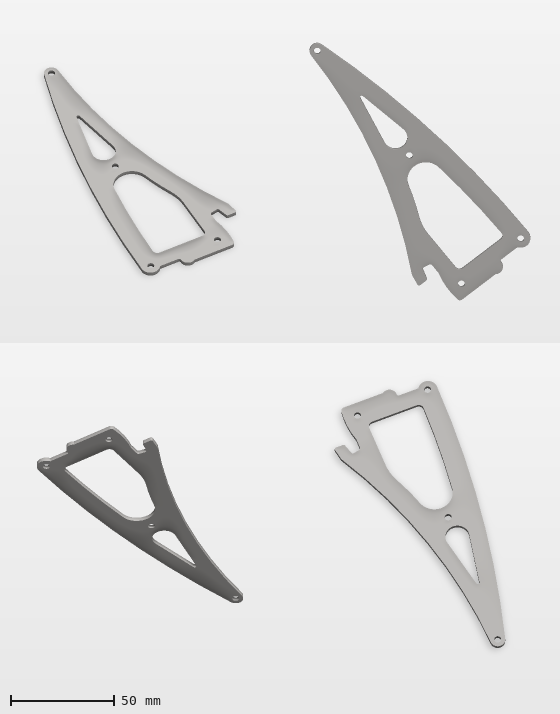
import cadquery as cq
import math

length = 146.2
thickness = 2.0
hole_diameter = 3.4

tip_radius = 3.7
tip_center = (tip_radius, 23.0)
tip_upper_angle = 93.0
tip_lower_angle = 256.0
lug_radius = 4.7
lug_center = (138.9, lug_radius)

upper_edge_middle = (67.2, 36.0)
upper_edge_end = (120.6, 57.3)
lower_edge_middle = (65.9, 5.5)

hook_right = 127.2
hook_tip = (hook_right, 58.5)
hook_lower_corner = (hook_right, 53.0)
notch_inner_corner = (121.0, 51.3)
notch_floor = 46.6
notch_left = 121.9
hook_corner_radius = 0.9

shoulder_start = (127.6, notch_floor)
shoulder_middle = (136.7, 48.1)
right_side = 145.5
shoulder_end = (right_side, 47.5)
shoulder_radius = 1.8
bump_radius = 3.7
bump_center = (length - bump_radius, 23.2)
recess_side = 141.3
recess_radius = 0.9

drop_nose_center = (35.4, 20.6)
drop_nose_radius = 0.9
drop_head_center = (61.4, 20.6)
drop_head_radius = 5.8

window_nose_center = (87.3, 22.2)
window_nose_radius = 8.9
window_slope_angle = 109.5
window_floor_angle = 264.0
window_peak = (104.5, 38.6)
window_slope_middle = (95.0, 34.3)
window_right = 133.3
window_lower_corner = (window_right, 10.2)
window_floor_middle = (109.6, 11.1)
window_peak_radius = 21.9
window_corner_radius = 2.5

middle_hole = (72.6, 20.9)
right_hole_x = 139.0
right_hole_heights = (4.8, 41.4)


def on_circle(center, radius, angle):
    """Point on a circle at an angle in degrees from +X."""
    turn = math.radians(angle)
    return (center[0] + radius * math.cos(turn), center[1] + radius * math.sin(turn))


def round_corner(body, corner, radius):
    """Fillet the upright edge nearest to a corner of the outline."""
    nearest = cq.selectors.NearestToPointSelector((corner[0], corner[1], thickness / 2))
    return body.edges("|Z").edges(nearest).fillet(radius)


def make_plate():
    tip_top = on_circle(tip_center, tip_radius, tip_upper_angle)
    tip_left = on_circle(tip_center, tip_radius, 180)
    tip_bottom = on_circle(tip_center, tip_radius, tip_lower_angle)
    lug_bottom = on_circle(lug_center, lug_radius, 270)
    lug_right = on_circle(lug_center, lug_radius, 0)
    lug_rise = math.sqrt(lug_radius**2 - (recess_side - lug_center[0]) ** 2)
    lug_top = (recess_side, lug_center[1] + lug_rise)
    bump_bottom = on_circle(bump_center, bump_radius, 270)
    bump_right = on_circle(bump_center, bump_radius, 0)
    bump_rise = math.sqrt(bump_radius**2 - (right_side - bump_center[0]) ** 2)
    notch_lower_corner = (notch_left, notch_floor)
    recess_corner = (recess_side, bump_bottom[1])

    body = (
        cq.Workplane("XY")
        .moveTo(*tip_top)
        .threePointArc(upper_edge_middle, upper_edge_end)
        .lineTo(*hook_tip)
        .lineTo(*hook_lower_corner)
        .lineTo(*notch_inner_corner)
        .lineTo(*notch_lower_corner)
        .lineTo(*shoulder_start)
        .threePointArc(shoulder_middle, shoulder_end)
        .lineTo(right_side, bump_center[1] + bump_rise)
        .threePointArc(bump_right, bump_bottom)
        .lineTo(*recess_corner)
        .lineTo(*lug_top)
        .threePointArc(lug_right, lug_bottom)
        .threePointArc(lower_edge_middle, tip_bottom)
        .threePointArc(tip_left, tip_top)
        .close()
        .extrude(thickness)
    )
    for corner in (hook_tip, hook_lower_corner, notch_inner_corner, notch_lower_corner):
        body = round_corner(body, corner, hook_corner_radius)
    body = round_corner(body, shoulder_end, shoulder_radius)
    return round_corner(body, recess_corner, recess_radius)


def make_teardrop():
    spread = drop_head_center[0] - drop_nose_center[0]
    tangent = 90 + math.degrees(math.asin((drop_head_radius - drop_nose_radius) / spread))
    return (
        cq.Workplane("XY")
        .moveTo(*on_circle(drop_nose_center, drop_nose_radius, tangent))
        .lineTo(*on_circle(drop_head_center, drop_head_radius, tangent))
        .threePointArc(
            on_circle(drop_head_center, drop_head_radius, 0),
            on_circle(drop_head_center, drop_head_radius, -tangent),
        )
        .lineTo(*on_circle(drop_nose_center, drop_nose_radius, -tangent))
        .threePointArc(
            on_circle(drop_nose_center, drop_nose_radius, 180),
            on_circle(drop_nose_center, drop_nose_radius, tangent),
        )
        .close()
        .extrude(thickness)
    )


def make_large_window():
    nose_top = on_circle(window_nose_center, window_nose_radius, window_slope_angle)
    nose_left = on_circle(window_nose_center, window_nose_radius, 180)
    nose_bottom = on_circle(window_nose_center, window_nose_radius, window_floor_angle)
    upper_corner = (window_right, window_peak[1])
    body = (
        cq.Workplane("XY")
        .moveTo(*nose_top)
        .threePointArc(window_slope_middle, window_peak)
        .lineTo(*upper_corner)
        .lineTo(*window_lower_corner)
        .threePointArc(window_floor_middle, nose_bottom)
        .threePointArc(nose_left, nose_top)
        .close()
        .extrude(thickness)
    )
    body = round_corner(body, window_peak, window_peak_radius)
    for corner in (upper_corner, window_lower_corner):
        body = round_corner(body, corner, window_corner_radius)
    return body


def make_holes():
    centers = [tip_center, middle_hole]
    for height in right_hole_heights:
        centers.append((right_hole_x, height))
    return cq.Workplane("XY").pushPoints(centers).circle(hole_diameter / 2).extrude(thickness)


result = make_plate().cut(make_teardrop()).cut(make_large_window()).cut(make_holes())